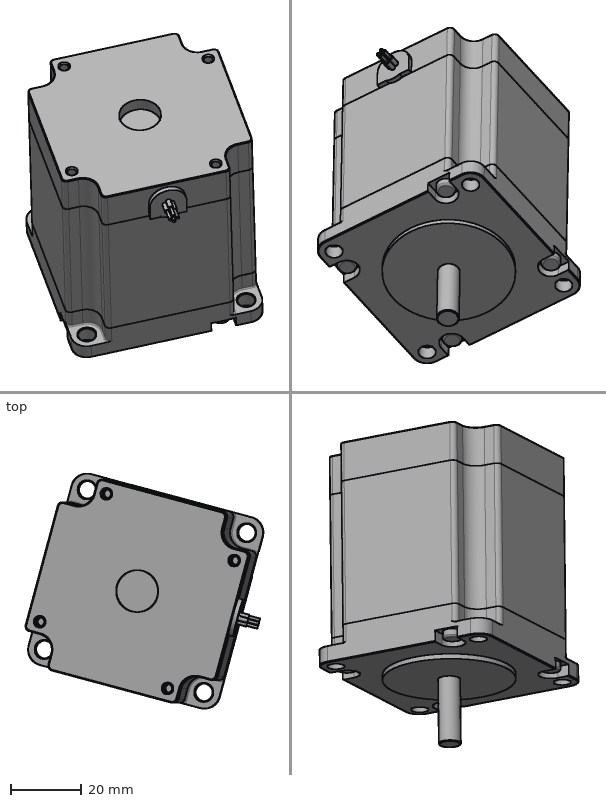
import cadquery as cq
import math

TURN = -15.05
TILT = -2.3

SIDES = 4
WIDTH = 56.4
FLANGE_HEIGHT = 10.5
STATOR_HEIGHT = 43.0
CAP_HEIGHT = 11.6
CAP_BASE = FLANGE_HEIGHT + STATOR_HEIGHT
EDGE_CHAMFER = 0.3
TOP = CAP_BASE + CAP_HEIGHT
HALF = WIDTH / 2

MOUNT_OFFSET = 23.6
MOUNT_DIAMETER = 5.0
MOUNT_CHAMFER = 0.3
EAR_HEIGHT = 4.9
FOOT_RADIUS = 0.35
EAR_RADIUS = 4.5
RELIEF_RADIUS = 4.5
EDGE_RADIUS = 1.5
RELIEF_OVERRUN = 1.75

PILOT_DIAMETER = 38.1
PILOT_HEIGHT = 1.5
SHAFT_DIAMETER = 6.4
SHAFT_REACH = 21.0
SHAFT_CHAMFER = 0.3

SCREW_ALONG = 15.6
SCREW_OUT = 24.5
SCREW_HEAD_DIAMETER = 5.6
SCREW_HEAD_HEIGHT = 2.3
SCREW_HEAD_ROUNDING = 0.6
SCREW_POCKET_WIDTH = 7.3
SCREW_POCKET_DEPTH = 3.4
THREAD_DIAMETER = 2.5
THREAD_CHAMFER = 0.4
THREAD_DEPTH = 17.5

RECESS_DIAMETER = 12.0
RECESS_DEPTH = 4.0

OUTLET_RADIUS = 5.4
OUTLET_CENTRE_HEIGHT = 4.9
OUTLET_THICKNESS = 1.4
INSULATION_DIAMETER = 1.5
INSULATION_LENGTH = 2.9
CONDUCTOR_DIAMETER = 1.0
CONDUCTOR_LENGTH = 3.2
WIRE_LENGTH = INSULATION_LENGTH + CONDUCTOR_LENGTH
WIRE_COUNT = 4
WIRE_CIRCLE_RADIUS = INSULATION_DIAMETER / math.sqrt(2)


def cylinder(diameter, z_from, z_to, x=0, y=0):
    """A round bar parallel to the motor axis."""
    return cq.Workplane("XY", origin=(x, y, z_from)).circle(diameter / 2).extrude(z_to - z_from)


def countersink(diameter, chamfer, z_top, x, y):
    """The cone that chamfers the upper mouth of a round hole."""
    radius = diameter / 2
    cone = cq.Solid.makeCone(radius, radius + chamfer, chamfer, cq.Vector(x, y, z_top - chamfer))
    return cq.Workplane(obj=cone)


def quarter_turns(shape):
    """The shape repeated on all four sides of the motor."""
    step = 360 / SIDES
    return [shape.rotate((0, 0, 0), (0, 0, 1), step * i) for i in range(SIDES)]


def corner_relief(z_from, z_to):
    """The material removed at one corner: a square with a round inner corner and flared mouths."""
    inner = MOUNT_OFFSET - RELIEF_RADIUS
    flare = HALF - EDGE_RADIUS
    bend = EDGE_RADIUS * (1 - math.sqrt(0.5))
    hollow = RELIEF_RADIUS * math.sqrt(0.5)
    beside = inner - EDGE_RADIUS - RELIEF_OVERRUN
    beyond = HALF + RELIEF_OVERRUN
    return (
        cq.Workplane("XY", origin=(0, 0, z_from))
        .moveTo(beside, HALF)
        .lineTo(inner - EDGE_RADIUS, HALF)
        .threePointArc((inner - bend, HALF - bend), (inner, flare))
        .lineTo(inner, MOUNT_OFFSET)
        .threePointArc((MOUNT_OFFSET - hollow, MOUNT_OFFSET - hollow), (MOUNT_OFFSET, inner))
        .lineTo(flare, inner)
        .threePointArc((HALF - bend, inner - bend), (HALF, inner - EDGE_RADIUS))
        .lineTo(HALF, beside)
        .lineTo(beyond, beside)
        .lineTo(beyond, beyond)
        .lineTo(beside, beyond)
        .close()
        .extrude(z_to - z_from)
    )


def square_block(z_from, z_to):
    """A square block centred on the motor axis."""
    return cq.Workplane("XY", origin=(0, 0, z_from)).rect(WIDTH, WIDTH).extrude(z_to - z_from)


def cut_all_sides(body, tool):
    """The body with the tool removed on all four sides."""
    for cutter in quarter_turns(tool):
        body = body.cut(cutter)
    return body


def relieved_block(z_from, z_to):
    """A square block with a hollow at each corner."""
    return cut_all_sides(square_block(z_from, z_to), corner_relief(z_from, z_to))


def screw_pocket():
    """Pocket for one screw head, round inside and open to the side of the flange."""
    pocket = cylinder(SCREW_POCKET_WIDTH, 0, SCREW_POCKET_DEPTH, SCREW_ALONG, -SCREW_OUT)
    mouth = (
        cq.Workplane("XY")
        .center(SCREW_ALONG, -(SCREW_OUT + HALF) / 2)
        .rect(SCREW_POCKET_WIDTH, HALF - SCREW_OUT)
        .extrude(SCREW_POCKET_DEPTH)
    )
    return pocket.union(mouth)


def screw_head():
    """One round-edged screw head, standing down from the floor of its pocket."""
    lower = SCREW_POCKET_DEPTH - SCREW_HEAD_HEIGHT
    head = cylinder(SCREW_HEAD_DIAMETER, lower, SCREW_POCKET_DEPTH, SCREW_ALONG, -SCREW_OUT)
    return head.faces("<Z").edges().fillet(SCREW_HEAD_ROUNDING)


def mounting_hole():
    """Through hole of one ear, widened by a chamfer at the ear's upper face."""
    hole = cylinder(MOUNT_DIAMETER, 0, EAR_HEIGHT, MOUNT_OFFSET, MOUNT_OFFSET)
    return hole.union(countersink(MOUNT_DIAMETER, MOUNT_CHAMFER, EAR_HEIGHT, MOUNT_OFFSET, MOUNT_OFFSET))


def make_flange():
    """Front flange with mounting ears, pilot, screw pockets and the shaft bore."""
    flange = square_block(0, FLANGE_HEIGHT).edges("|Z").fillet(EAR_RADIUS).faces("<Z").chamfer(EDGE_CHAMFER)
    relief = corner_relief(EAR_HEIGHT, FLANGE_HEIGHT).faces("<Z").edges().fillet(FOOT_RADIUS)
    flange = cut_all_sides(flange, relief)
    flange = cut_all_sides(flange, screw_pocket())
    flange = cut_all_sides(flange, mounting_hole())
    for head in quarter_turns(screw_head()):
        flange = flange.union(head)
    flange = flange.union(cylinder(PILOT_DIAMETER, -PILOT_HEIGHT, 0))
    return flange.cut(cylinder(SHAFT_DIAMETER, -PILOT_HEIGHT, FLANGE_HEIGHT))


def thread_hole():
    """One deep threaded hole, chamfered at the top of the cap."""
    thread = cylinder(THREAD_DIAMETER, TOP - THREAD_DEPTH, TOP, SCREW_ALONG, -SCREW_OUT)
    return thread.union(countersink(THREAD_DIAMETER, THREAD_CHAMFER, TOP, SCREW_ALONG, -SCREW_OUT))


def make_stator():
    """Laminated block between the flange and the cap, holding the lower ends of the threaded holes."""
    return cut_all_sides(relieved_block(FLANGE_HEIGHT, CAP_BASE), thread_hole())


def make_cap():
    """Rear cap with a round recess and four threaded holes."""
    cap = relieved_block(CAP_BASE, TOP).faces(">Z").chamfer(EDGE_CHAMFER)
    cap = cap.cut(cylinder(RECESS_DIAMETER, TOP - RECESS_DEPTH, TOP))
    return cut_all_sides(cap, thread_hole())


def make_shaft():
    """Output shaft, running through the flange, with a chamfered tip."""
    return cylinder(SHAFT_DIAMETER, -SHAFT_REACH, FLANGE_HEIGHT).faces("<Z").chamfer(SHAFT_CHAMFER)


def side_bar(diameter, length, x, y, z):
    """A round bar pointing straight out of the +X side."""
    return cq.Workplane("YZ", origin=(x, y, z)).circle(diameter / 2).extrude(length)


def make_lead():
    """Arched outlet on the side of the cap with a bundle of stripped wires."""
    centre_z = CAP_BASE + OUTLET_CENTRE_HEIGHT
    lead = side_bar(2 * OUTLET_RADIUS, OUTLET_THICKNESS, HALF, 0, centre_z)
    foot = (
        cq.Workplane("YZ", origin=(HALF, 0, (CAP_BASE + centre_z) / 2))
        .rect(2 * OUTLET_RADIUS, OUTLET_CENTRE_HEIGHT)
        .extrude(OUTLET_THICKNESS)
    )
    lead = lead.union(foot)
    outlet_face = HALF + OUTLET_THICKNESS
    for i in range(WIRE_COUNT):
        angle = 2 * math.pi * i / WIRE_COUNT
        y = WIRE_CIRCLE_RADIUS * math.cos(angle)
        z = centre_z + WIRE_CIRCLE_RADIUS * math.sin(angle)
        lead = lead.union(side_bar(INSULATION_DIAMETER, INSULATION_LENGTH, outlet_face, y, z))
        lead = lead.union(side_bar(CONDUCTOR_DIAMETER, WIRE_LENGTH, outlet_face, y, z))
    return lead


def place(body):
    """Turn a body about the motor axis, then lean the axis."""
    turned = body.rotate((0, 0, 0), (0, 0, 1), TURN)
    return turned.rotate((0, 0, 0), (0, 1, 0), TILT)


flange = place(make_flange())
stator = place(make_stator())
cap = place(make_cap())
shaft = place(make_shaft())
lead = place(make_lead())

result = cq.Compound.makeCompound([flange.val(), stator.val(), cap.val(), shaft.val(), lead.val()])